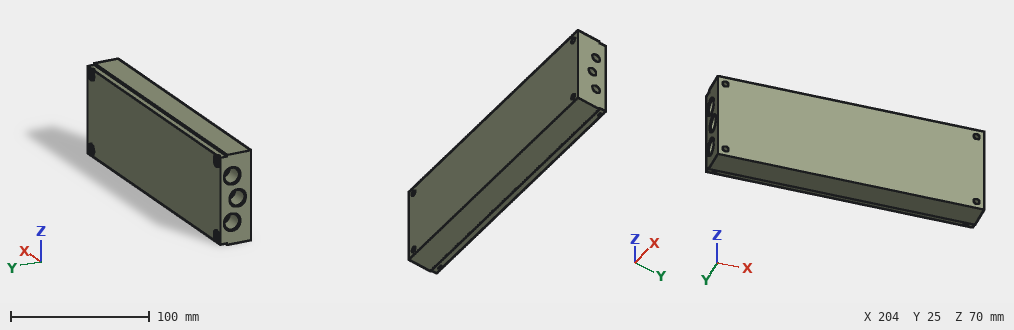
import cadquery as cq

length = 204.0
depth = 25.0
height = 70.0

step_depth = 5.5
step_height = 1.2

mount_diameter = 4.5
mount_inset = 6.0
counterbore_diameter = 8.5
counterbore_depth = 1.8

port_diameter = 12.0
port_depth = 15.0
port_chamfer = 0.71
duct_diameter = 6.7

outer_port_inset = 9.5
outer_port_height = 18.0
outer_duct_inset = 8.8
outer_duct_height = 16.1
middle_port_inset = 14.0
middle_duct_inset = 12.0

rear_y = depth / 2
left_x = -length / 2


def make_block():
    """Front slab with a slightly lower slab behind it, centred on the origin."""
    front_depth = depth - step_depth
    front = cq.Workplane("XY").box(length, front_depth, height)
    front = front.translate((0, (front_depth - depth) / 2, 0))
    rear = cq.Workplane("XY").box(length, step_depth, height - 2 * step_height)
    rear = rear.translate((0, rear_y - step_depth / 2, 0))
    return front.union(rear)


def corner_cylinders(diameter, cylinder_length):
    """Four cylinders, one near each corner, running forward from the rear face."""
    spacing_x = length - 2 * mount_inset
    spacing_z = height - 2 * mount_inset
    centres = cq.Workplane("XZ", origin=(0, rear_y, 0)).rarray(spacing_x, spacing_z, 2, 2)
    return centres.circle(diameter / 2).extrude(cylinder_length)


def end_plane(inset, z):
    """Plane on the left end face, centred on a bore and facing into the block."""
    return cq.Workplane("YZ", origin=(left_x, rear_y - inset, z))


def port(inset, z):
    """Blind bore with a 45 degree chamfer at its mouth."""
    port_radius = port_diameter / 2
    bore = end_plane(inset, z).circle(port_radius).extrude(port_depth)
    mouth = end_plane(inset, z).circle(port_radius + port_chamfer)
    mouth = mouth.workplane(offset=port_chamfer).circle(port_radius).loft()
    return bore.union(mouth)


def duct(inset, z):
    """Narrow bore through the full length of the block."""
    return end_plane(inset, z).circle(duct_diameter / 2).extrude(length)


result = make_block()
result = result.cut(corner_cylinders(mount_diameter, depth))
result = result.cut(corner_cylinders(counterbore_diameter, counterbore_depth))

for side in (-1, 1):
    result = result.cut(port(outer_port_inset, side * outer_port_height))
    result = result.cut(duct(outer_duct_inset, side * outer_duct_height))

result = result.cut(port(middle_port_inset, 0))
result = result.cut(duct(middle_duct_inset, 0))